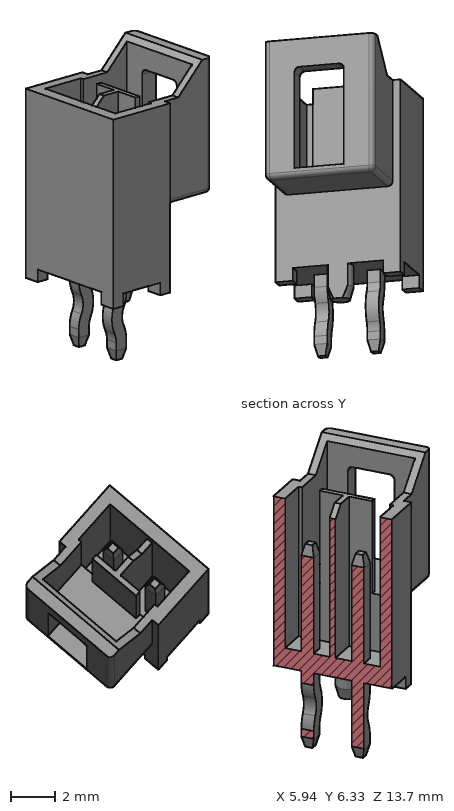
import cadquery as cq
import math


BODY_WIDTH = 5.94
BODY_DEPTH = 3.47
BODY_HEIGHT = 8.45
FOOT_WIDTH = 0.82
FOOT_DEPTH = 0.6
FOOT_HEIGHT = 0.6

FRONT_WALL = 0.66
POCKET_WIDTH = 2.22
POCKET_DEPTH = 2.18
CAVITY_FLOOR_Z = 1.0
DIVIDER_THICKNESS = 0.3
DIVIDER_SLOPE_START_Y = 1.96
DIVIDER_SLOPE_END_Y = 1.36
CROSSBAR_WIDTH = 2.62
CROSSBAR_THICKNESS = 0.26
CAVITY_WIDTH = 2 * POCKET_WIDTH + DIVIDER_THICKNESS
CAVITY_BACK_Y = FRONT_WALL + POCKET_DEPTH

TOTAL_DEPTH = 6.33
HOOD_WIDTH = 5.2
HOOD_RISE = 1.47
HOOD_BOTTOM_Z = 3.45
HOOD_TOP_LAND = 0.58
HOOD_FILLET = 0.25
HOOD_SIDE_WALL = 0.4
HOOD_BACK_WALL = 0.84
HOOD_FLOOR = HOOD_SIDE_WALL
HOOD_TOP_Z = BODY_HEIGHT + HOOD_RISE
HOOD_INNER_WIDTH = HOOD_WIDTH - 2 * HOOD_SIDE_WALL
HOOD_FLOOR_Z = HOOD_BOTTOM_Z + HOOD_FLOOR
WINDOW_WIDTH = 2.33
WINDOW_TOP_DROP = 1.32
WINDOW_CORNER_RADIUS = 0.25

PEG_RADIUS = 0.6
PEG_TIP_RADIUS = 0.44
PEG_LENGTH = 1.59
PEG_TIP_LENGTH = 0.58
PEG_CENTRE_Y = BODY_DEPTH - 0.38

PIN_SIZE = 0.63
PIN_TIP_SIZE = 0.35
PIN_TAPER = 0.53
PIN_PITCH = POCKET_WIDTH + DIVIDER_THICKNESS
PIN_Y = 1.74
PIN_TOP_Z = 6.3
TAIL_LENGTH = 3.8
BEND_START_Z = -0.58
BEND_HALF_HEIGHT = 1.15
BEND_RADIUS = 1.35


def block(x_size, y_min, y_max, z_min, z_max):
    """Box centred on X between the given Y and Z limits."""
    corner = cq.Workplane("XY", origin=(0, y_min, z_min))
    return corner.box(x_size, y_max - y_min, z_max - z_min, (True, False, False))


def side_extrusion(points, width):
    """Closed (Y, Z) outline extruded symmetrically along X."""
    return cq.Workplane("YZ").polyline(points).close().extrude(width / 2, both=True)


def make_body():
    body = block(BODY_WIDTH, 0, BODY_DEPTH, -FOOT_HEIGHT, BODY_HEIGHT)
    across = block(BODY_WIDTH, FOOT_DEPTH, BODY_DEPTH - FOOT_DEPTH, -FOOT_HEIGHT, 0)
    along = block(BODY_WIDTH - 2 * FOOT_WIDTH, 0, BODY_DEPTH, -FOOT_HEIGHT, 0)
    return body.cut(across).cut(along)


def make_hood():
    blank = block(HOOD_WIDTH, CAVITY_BACK_Y, TOTAL_DEPTH, HOOD_BOTTOM_Z, HOOD_TOP_Z)
    blank = blank.edges("(|Z and >Y) or (<Z and (|Y or >Y))").fillet(HOOD_FILLET)
    slope_top_y = TOTAL_DEPTH - HOOD_TOP_LAND
    slope_bottom_y = slope_top_y - HOOD_RISE
    lead_in = side_extrusion(
        [
            (slope_top_y, HOOD_TOP_Z),
            (slope_bottom_y, BODY_HEIGHT),
            (0, BODY_HEIGHT),
            (0, HOOD_TOP_Z),
        ],
        HOOD_WIDTH,
    )
    return blank.cut(lead_in)


def make_hood_recess():
    recess_back_y = TOTAL_DEPTH - HOOD_BACK_WALL
    recess = block(HOOD_INNER_WIDTH, FRONT_WALL, recess_back_y, HOOD_FLOOR_Z, HOOD_TOP_Z)
    window_top_z = HOOD_TOP_Z - WINDOW_TOP_DROP
    window = block(WINDOW_WIDTH, CAVITY_BACK_Y, TOTAL_DEPTH, HOOD_FLOOR_Z, window_top_z)
    window = window.edges("|Y and >Z").fillet(WINDOW_CORNER_RADIUS)
    return recess.union(window)


def make_divider():
    slope_drop = DIVIDER_SLOPE_START_Y - DIVIDER_SLOPE_END_Y
    web = side_extrusion(
        [
            (FRONT_WALL, CAVITY_FLOOR_Z),
            (CAVITY_BACK_Y, CAVITY_FLOOR_Z),
            (CAVITY_BACK_Y, BODY_HEIGHT),
            (DIVIDER_SLOPE_START_Y, BODY_HEIGHT),
            (DIVIDER_SLOPE_END_Y, BODY_HEIGHT - slope_drop),
            (FRONT_WALL, BODY_HEIGHT - slope_drop),
        ],
        DIVIDER_THICKNESS,
    )
    crossbar = block(
        CROSSBAR_WIDTH, CAVITY_BACK_Y, CAVITY_BACK_Y + CROSSBAR_THICKNESS, CAVITY_FLOOR_Z, BODY_HEIGHT
    )
    return web.union(crossbar)


def make_peg():
    shoulder_z = PEG_TIP_LENGTH - PEG_LENGTH
    centre = cq.Workplane("XY", origin=(0, PEG_CENTRE_Y, 0))
    round_part = centre.circle(PEG_RADIUS).extrude(shoulder_z)
    tip = (
        centre.workplane(offset=shoulder_z)
        .circle(PEG_RADIUS)
        .workplane(offset=-PEG_TIP_LENGTH)
        .circle(PEG_TIP_RADIUS)
        .loft()
    )
    peg = round_part.union(tip)
    return peg.intersect(block(2 * PEG_RADIUS, 0, BODY_DEPTH, -PEG_LENGTH, 0))


def make_pin_end(x, base_z, direction):
    """Tapered square end starting at base_z; direction is +1 up or -1 down."""
    return (
        cq.Workplane("XY", origin=(x, PIN_Y, base_z))
        .rect(PIN_SIZE, PIN_SIZE)
        .workplane(offset=direction * PIN_TAPER)
        .rect(PIN_TIP_SIZE, PIN_TIP_SIZE)
        .loft()
    )


def bend_points(offset, bulge_side):
    """(Y, Z) arc points, from the top, along the tail face at this offset toward the bulge side."""
    angle = math.asin(BEND_HALF_HEIGHT / (2 * BEND_RADIUS))
    bulge = 2 * BEND_RADIUS * (1 - math.cos(angle))
    crown_z = BEND_START_Z - BEND_HALF_HEIGHT
    entry_radius = BEND_RADIUS - offset

    def entry_point(turn):
        y = offset + entry_radius * (1 - math.cos(turn))
        z = BEND_START_Z - entry_radius * math.sin(turn)
        return y, z

    entry_arc = [entry_point(turn) for turn in (0, angle / 2, angle)]
    exit_arc = [(y, 2 * crown_z - z) for y, z in reversed(entry_arc)]
    points = entry_arc + [(offset + bulge, crown_z)] + exit_arc
    return [(PIN_Y + bulge_side * y, z) for y, z in points]


def trace_arcs(outline, points):
    """Line to the first point, then one arc through each following pair of points."""
    outline = outline.lineTo(*points[0])
    for middle, end in zip(points[1::2], points[2::2]):
        outline = outline.threePointArc(middle, end)
    return outline


def make_pin(x, bulge_side):
    """Contact at x whose tail bulges toward +Y (bulge_side +1) or -Y (-1)."""
    half = PIN_SIZE / 2
    upper_z = PIN_TOP_Z - PIN_TAPER
    lower_z = PIN_TAPER - TAIL_LENGTH
    outer_y = PIN_Y + bulge_side * half
    inner_y = PIN_Y - bulge_side * half
    reversed_inner = bend_points(-half, bulge_side)[::-1]
    outline = cq.Workplane("YZ", origin=(x, 0, 0)).moveTo(outer_y, upper_z)
    outline = trace_arcs(outline, bend_points(half, bulge_side))
    outline = outline.lineTo(outer_y, lower_z).lineTo(inner_y, lower_z)
    outline = trace_arcs(outline, reversed_inner).lineTo(inner_y, upper_z).close()
    shank = outline.extrude(half, both=True)
    return shank.union(make_pin_end(x, upper_z, 1)).union(make_pin_end(x, lower_z, -1))


cavity = block(CAVITY_WIDTH, FRONT_WALL, CAVITY_BACK_Y, CAVITY_FLOOR_Z, BODY_HEIGHT)

result = make_body().union(make_hood())
result = result.cut(cavity).cut(make_hood_recess())
result = result.union(make_divider()).union(make_peg())
for side in (-1, 1):
    result = result.union(make_pin(side * PIN_PITCH / 2, -side))